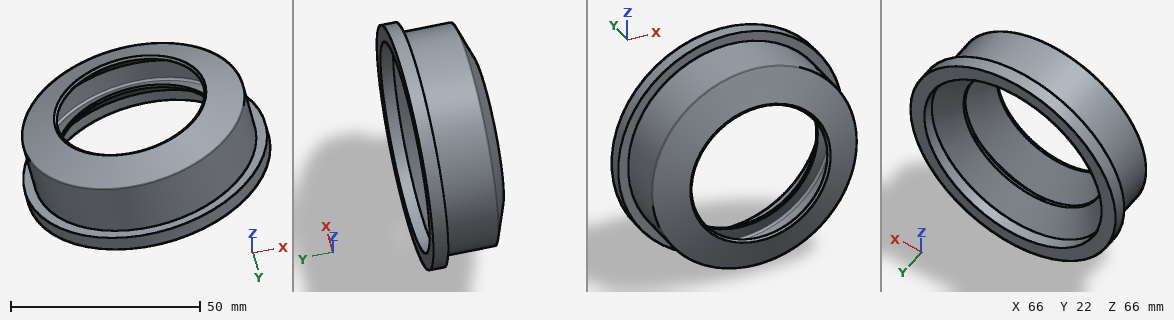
import cadquery as cq

flange_diameter = 66.0
body_diameter = 60.2
nose_diameter = 41.2
opening_diameter = 40.0
total_depth = 22.0
flange_thickness = 4.0
nose_depth = 3.6

lip_rounding = (nose_diameter - opening_diameter) / 2
shoulder_rounding = 0.25
chamber_rounding = 0.5

lip_depth = 0.8
chamber_diameter = 56.0
chamber_front = 7.9
chamber_rear = 14.6

throat_diameter = 45.0
throat_front = 11.6
throat_rear = 12.55

rear_bore_diameter = 57.0
rear_bore_front = throat_rear + (rear_bore_diameter - throat_diameter) / 2


def turned(profile):
    """Revolve (diameter, depth) profile corners about the Y axis."""
    points = [(diameter / 2, depth) for diameter, depth in profile]
    return cq.Workplane("XY").polyline(points).close().revolve(360, (0, 0, 0), (0, 1, 0))


def round_edge(body, depth, radius):
    """Round the full-circle edge centred on the axis at the given depth."""
    edge = cq.selectors.NearestToPointSelector((0, depth, 0))
    return body.edges(edge).fillet(radius)


flange_front = total_depth - flange_thickness
outer = turned([
    (0, 0),
    (nose_diameter, 0),
    (body_diameter, nose_depth),
    (body_diameter, flange_front),
    (flange_diameter, flange_front),
    (flange_diameter, total_depth),
    (0, total_depth),
])
outer = round_edge(outer, nose_depth, shoulder_rounding)

cavity = turned([
    (0, 0),
    (opening_diameter, 0),
    (opening_diameter, lip_depth),
    (chamber_diameter, chamber_front),
    (chamber_diameter, chamber_rear),
    (throat_diameter, throat_front),
    (throat_diameter, throat_rear),
    (rear_bore_diameter, rear_bore_front),
    (rear_bore_diameter, total_depth),
    (0, total_depth),
])
cavity = round_edge(cavity, chamber_rear, chamber_rounding)

mouth = (
    cq.Workplane("XY")
    .lineTo(nose_diameter / 2, 0)
    .radiusArc((opening_diameter / 2, lip_rounding), lip_rounding)
    .lineTo(0, lip_rounding)
    .close()
    .revolve(360, (0, 0, 0), (0, 1, 0))
)

result = outer.cut(cavity).cut(mouth)